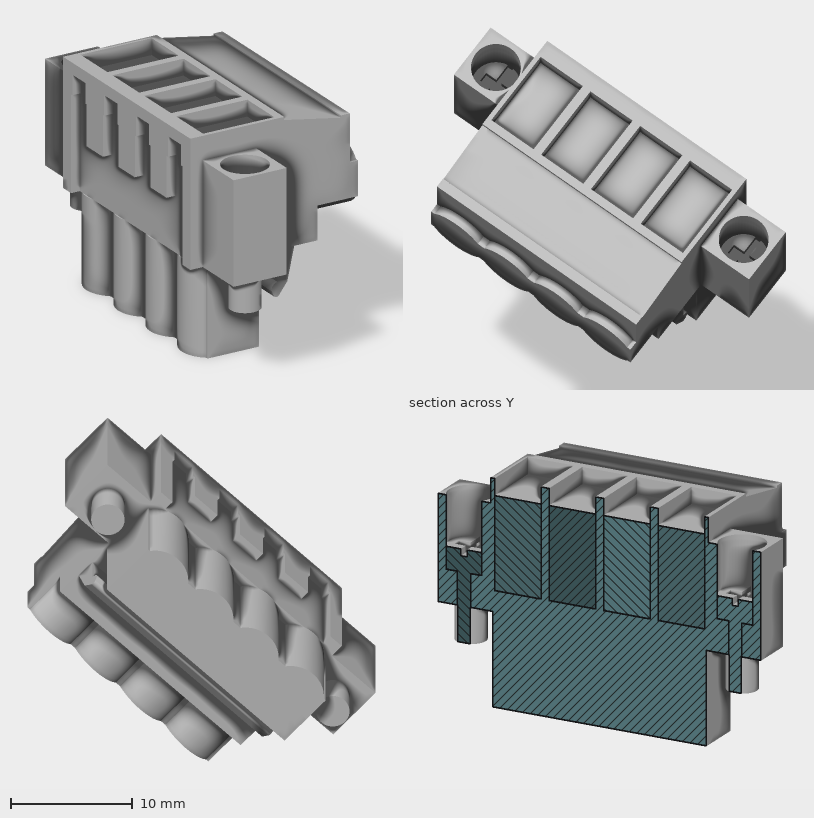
import cadquery as cq

pole_count = 4
pole_pitch = 5.08
pole_radius = 2.75
housing_width = pole_count * pole_pitch
pole_positions = [(i - (pole_count - 1) / 2) * pole_pitch for i in range(pole_count)]

housing_height = 11.7
housing_depth = 16.1
top_depth = 9.0
slope_high = 11.42
slope_low = 10.45
lip_height = 10.65
lip_front = 14.45
lip_back = 15.3
underside_depth = 12.2

entry_height = 4.65
entry_bar_top = 6.28
entry_bar_bottom = 3.11

plug_width = 19.94
plug_length = 8.35
plug_front = 0.72
plug_flat_front = 1.75
plug_back = 6.7

recess_depth = 0.85
channel_width = 2.5
channel_top_width = 2.1
channel_step_height = 8.8
channel_height = 10.64
recess_height = 5.07
recess_width = (pole_count - 1) * pole_pitch + channel_width

window_width = 4.3
window_front = 1.45
window_back = 8.28
window_depth = 1.5
terminal_top = housing_height - window_depth
terminal_bottom = entry_height - pole_radius
window_length = window_back - window_front

overall_width = 30.12
flange_length = (overall_width - housing_width) / 2
flange_height = 9.5
flange_front = 1.2
flange_depth = 5.1
screw_offset = 12.64
screw_y = flange_front + flange_depth / 2

head_diameter = 4.1
head_height = 2.0
head_bottom = 3.0
shank_diameter = 2.75
shank_length = 3.2
long_slot_width = 0.55
short_slot_length = 2.6
short_slot_width = 0.85
slot_depth = 0.6

latch_top_back = 10.1
latch_front = 8.45
latch_bend = (9.42, -3.1)
latch_tip_back = (8.6, -4.2)
latch_tip_bottom = (8.35, -4.3)
latch_tip_front = (8.12, -4.15)
latch_nose = (7.9, -3.67)
latch_nose_crown = (8.05, -3.2)
latch_nose_top = -2.95


def box(width, depth, height, x, y, z):
    """Box centred on x, with its front at y and its underside at z."""
    return cq.Workplane("XY").box(width, depth, height, centered=(True, False, False)).translate((x, y, z))


def cylinder(diameter, height, x, y, z):
    """Upright cylinder with its lower end at z."""
    return cq.Workplane("XY").circle(diameter / 2).extrude(height).translate((x, y, z))


def side_extrusion(outline, width):
    """Extrude a closed (Y, Z) outline to both sides of the middle."""
    return outline.extrude(width / 2, both=True)


def make_shell():
    outline = (
        cq.Workplane("YZ")
        .moveTo(0, 0)
        .lineTo(0, housing_height)
        .lineTo(top_depth, housing_height)
        .lineTo(top_depth, slope_high)
        .lineTo(lip_front, slope_low)
        .lineTo(lip_front, lip_height)
        .lineTo(lip_back, lip_height)
        .lineTo(lip_back, entry_bar_top)
        .lineTo(housing_depth, entry_bar_top)
        .lineTo(housing_depth, entry_bar_bottom)
        .lineTo(underside_depth, entry_bar_bottom)
        .lineTo(underside_depth, 0)
        .close()
    )
    return side_extrusion(outline, housing_width)


def make_wire_entries():
    depth = housing_depth - underside_depth
    bar_height = entry_bar_top - entry_bar_bottom
    entries = box(housing_width, depth, bar_height, 0, underside_depth, entry_bar_bottom)
    for x in pole_positions:
        tube = cq.Workplane("XZ", origin=(x, housing_depth, entry_height)).circle(pole_radius).extrude(depth)
        entries = entries.union(tube)
    return entries.intersect(box(housing_width, housing_depth, housing_height, 0, 0, 0))


def make_plug():
    plug = box(plug_width, plug_back - plug_flat_front, plug_length, 0, plug_flat_front, -plug_length)
    for x in pole_positions:
        plug = plug.union(cylinder(2 * pole_radius, plug_length, x, plug_front + pole_radius, -plug_length))
    return plug.intersect(box(plug_width, plug_back, plug_length, 0, 0, -plug_length))


def make_latch():
    outline = (
        cq.Workplane("YZ")
        .moveTo(latch_front, 0)
        .lineTo(latch_top_back, 0)
        .lineTo(*latch_bend)
        .lineTo(*latch_tip_back)
        .threePointArc(latch_tip_bottom, latch_tip_front)
        .lineTo(*latch_nose)
        .threePointArc(latch_nose_crown, (latch_front, latch_nose_top))
        .close()
    )
    return side_extrusion(outline, plug_width)


def make_front_recess():
    recess = box(recess_width, recess_depth, recess_height, 0, 0, 0)
    for x in pole_positions:
        recess = recess.union(box(channel_width, recess_depth, channel_step_height, x, 0, 0))
        recess = recess.union(box(channel_top_width, recess_depth, channel_height, x, 0, 0))
    return recess


def make_housing():
    housing = make_shell().union(make_wire_entries())
    housing = housing.cut(make_front_recess())
    housing = housing.union(make_plug()).union(make_latch())
    window_height = housing_height - terminal_bottom
    for x in pole_positions:
        housing = housing.cut(box(window_width, window_length, window_height, x, window_front, terminal_bottom))
    for side in (-1, 1):
        flange_x = side * (housing_width + flange_length) / 2
        housing = housing.union(box(flange_length, flange_depth, flange_height, flange_x, flange_front, 0))
        screw_x = side * screw_offset
        housing = housing.cut(cylinder(head_diameter, flange_height, screw_x, screw_y, head_bottom))
        housing = housing.cut(cylinder(shank_diameter, flange_height, screw_x, screw_y, 0))
    return housing


def make_terminal(x):
    height = terminal_top - terminal_bottom
    return box(window_width, window_length, height, x, window_front, terminal_bottom)


def make_screw(x):
    shank = cylinder(shank_diameter, shank_length + head_bottom, x, screw_y, -shank_length)
    screw = shank.union(cylinder(head_diameter, head_height, x, screw_y, head_bottom))
    slot_floor = head_bottom + head_height - slot_depth
    for width, length in ((long_slot_width, head_diameter), (short_slot_length, short_slot_width)):
        screw = screw.cut(box(width, length, slot_depth, x, screw_y - length / 2, slot_floor))
    return screw


housing = make_housing()
terminals = [make_terminal(x) for x in pole_positions]
screws = [make_screw(side * screw_offset) for side in (-1, 1)]

result = cq.Compound.makeCompound(
    [housing.val(), *[terminal.val() for terminal in terminals], *[screw.val() for screw in screws]]
)